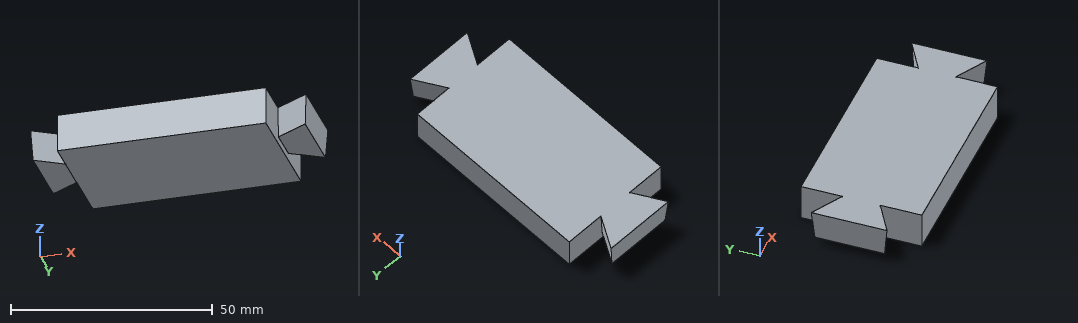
import cadquery as cq
import math

overall_length = 71.0
body_width = 32.0
body_height = 10.0
tail_height = 8.0
tail_end_width = 20.0
neck_width = tail_end_width / 2
flare_angle = 30.0
draft_angle = 3.0

tail_length = (tail_end_width - neck_width) / 2 / math.tan(math.radians(flare_angle))
body_length = overall_length - 2 * tail_length


def dovetail_pair():
    """Bow-tie prism, flush with the body top, whose two ends form the dovetails."""
    root_width = neck_width / 2
    root_depth = (neck_width - root_width) / 2 / math.tan(math.radians(flare_angle))
    end_x = overall_length / 2
    root_x = body_length / 2 - root_depth
    end_y = tail_end_width / 2
    root_y = root_width / 2
    outline = [
        (end_x, -end_y),
        (end_x, end_y),
        (root_x, root_y),
        (-root_x, root_y),
        (-end_x, end_y),
        (-end_x, -end_y),
        (-root_x, -root_y),
        (root_x, -root_y),
    ]
    return (
        cq.Workplane("XY")
        .workplane(offset=body_height)
        .polyline(outline)
        .close()
        .extrude(-tail_height, taper=draft_angle)
    )


body = cq.Workplane("XY").box(body_length, body_width, body_height, centered=(True, True, False))

result = body.union(dovetail_pair())